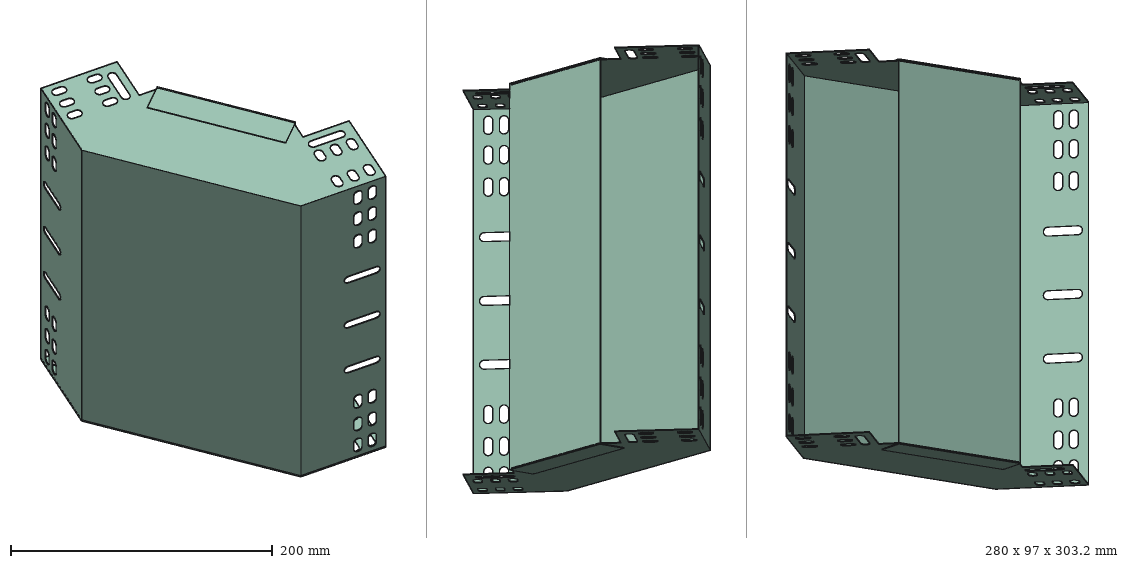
import cadquery as cq
import math

overall_width = 280.0
overall_depth = 97.0
overall_height = 303.2
sheet = 0.75

diagonal = math.sqrt(0.5)
bend_angle = 45.0
front_width = 177.7
wing_inner_edge = 39.0
tray_height = overall_height - 2 * sheet
half_width = overall_width / 2
half_height = tray_height / 2
front_half = front_width / 2
wing_run = half_width - front_half
apex_x = half_width - (overall_depth - wing_run)
notch_run = wing_inner_edge * diagonal
notch_x = apex_x - notch_run
notch_y = overall_depth - notch_run

cover_width = 112.2
cover_rear_y = 81.5
lip_depth = 23.0
cover_inner_y = cover_rear_y - sheet

slot_width = 7.0
wall_slot_length = 14.3
wall_slot_along = [11.5, 23.5]
wall_slot_heights = [89.0, 114.3, 137.7]
long_slot_length = 30.3
long_slot_along = 20.0
long_slot_pitch = 50.0
flange_slot_length = 11.8
flange_slot_along = [8.5, 22.0, 35.8]
flange_slot_inward = [11.8, 41.8]
flange_long_along = 23.5
flange_long_inward = 55.2


def tray_shell():
    """Sheet-metal channel, open at the rear and at both wing ends."""
    rear_x = notch_x - (cover_inner_y - notch_y)
    right_side = [
        (front_half, 0),
        (half_width, wing_run),
        (apex_x, overall_depth),
        (notch_x, notch_y),
        (rear_x, cover_inner_y),
    ]
    left_side = [(-x, y) for x, y in reversed(right_side)]
    shell = (
        cq.Workplane("XY")
        .workplane(offset=-half_height)
        .polyline(right_side + left_side)
        .close()
        .extrude(tray_height)
    )

    inner_front_half = front_half - sheet * math.tan(math.radians(bend_angle / 2))
    reach = overall_depth
    interior = (
        cq.Workplane("XY")
        .workplane(offset=-half_height + sheet)
        .polyline([
            (inner_front_half, sheet),
            (inner_front_half + reach, sheet + reach),
            (-inner_front_half - reach, sheet + reach),
            (-inner_front_half, sheet),
        ])
        .close()
        .extrude(tray_height - 2 * sheet)
    )
    return shell.cut(interior)


def wing_plane(normal):
    """Plane at the right wing's outer end, with its x axis along the wing towards the front wall."""
    towards_front = (-diagonal, -diagonal, 0)
    return cq.Plane((half_width, wing_run, 0), towards_front, normal)


def slots(plane, places, length, direction, depth):
    """Slot cutters reaching the given depth to both sides of the plane."""
    return (
        cq.Workplane(plane)
        .pushPoints(places)
        .slot2D(length, slot_width, direction)
        .extrude(depth, both=True)
    )


def wall_slots():
    """Slots through the right wing wall, symmetric about mid-height."""
    plane = wing_plane((diagonal, -diagonal, 0))
    upright_places = [
        (along, side * height)
        for along in wall_slot_along
        for height in wall_slot_heights
        for side in (-1, 1)
    ]
    long_places = [(long_slot_along, row * long_slot_pitch) for row in (-1, 0, 1)]
    uprights = slots(plane, upright_places, wall_slot_length, 90, 2 * sheet)
    return uprights.union(slots(plane, long_places, long_slot_length, 0, 2 * sheet))


def flange_slots():
    """Slots through the right wing of both flanges."""
    plane = wing_plane((0, 0, -1))
    short_places = [(along, inward) for along in flange_slot_along for inward in flange_slot_inward]
    long_place = [(flange_long_along, flange_long_inward)]
    shorts = slots(plane, short_places, flange_slot_length, 90, overall_height)
    return shorts.union(slots(plane, long_place, long_slot_length, 0, overall_height))


def make_tray():
    """Channel with the same slots through both wings."""
    tray = tray_shell()
    for cutters in (wall_slots(), flange_slots()):
        tray = tray.cut(cutters).cut(cutters.mirror("YZ"))
    return tray


def make_cover():
    """U-shaped strip: rear plate and two lips lying on the outside of the flanges."""
    lip_front_y = cover_rear_y - lip_depth
    block = cq.Workplane("XY").box(cover_width, lip_depth, overall_height, centered=(True, False, True))
    gap = cq.Workplane("XY").box(cover_width, lip_depth - sheet, tray_height, centered=(True, False, True))
    return block.cut(gap).translate((0, lip_front_y, 0))


tray = make_tray()
cover = make_cover()
result = cq.Compound.makeCompound([tray.val(), cover.val()])